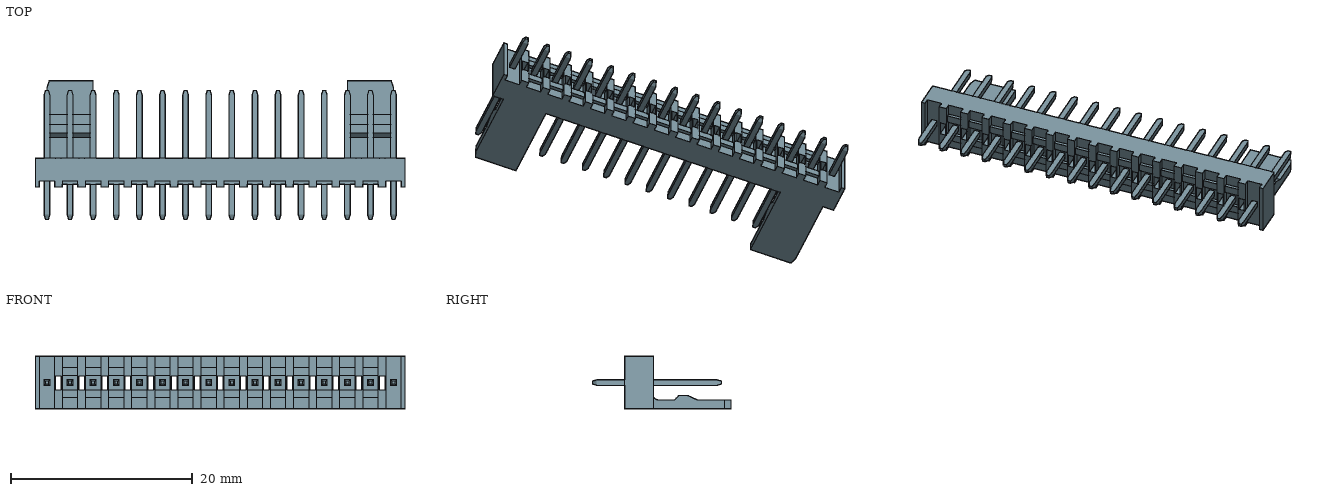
import cadquery as cq

OVERALL_DEPTH = 15.26

PIN_COUNT = 16
PITCH = 2.54
PIN_WIDTH = 0.64
PIN_TIP_WIDTH = 0.32
PIN_TIP_LENGTH = 0.5
PIN_FRONT_REACH = 3.55
PIN_REAR_REACH = 7.45

HOUSING_LENGTH = PIN_COUNT * PITCH
HOUSING_DEPTH = 3.2
HOUSING_HEIGHT = 5.8
PIN_HEIGHT = HOUSING_HEIGHT / 2

RIB_WIDTH = 0.86
GROOVE_WIDTH = PITCH - RIB_WIDTH
GROOVE_DEPTH = 0.66

PAD_INNER_OFFSET = 0.8
PAD_OUTER_OFFSET = 1.66
PAD_THICKNESS = 0.35

WINDOW_WIDTH = 0.6
WINDOW_BOTTOM = PIN_HEIGHT - PAD_INNER_OFFSET
WINDOW_HEIGHT = 1.5

TAB_REACH = OVERALL_DEPTH - HOUSING_DEPTH - PIN_FRONT_REACH
TAB_WIDTH = 2 * PITCH
TAB_THICKNESS = 1.0
TAB_CORNER_WIDTH = 0.25
TAB_CORNER_LENGTH = 0.76
ROOT_LENGTH = 0.58
ROOT_RISE = 0.3
BUMP_RISE = 0.5
BUMP_FOOT_NEAR = 2.29
BUMP_TOP_NEAR = 2.78
BUMP_TOP_FAR = 3.72
BUMP_FOOT_FAR = 4.8

FIRST_PIN_X = -(PIN_COUNT - 1) * PITCH / 2
PIN_XS = [FIRST_PIN_X + i * PITCH for i in range(PIN_COUNT)]


def block(x_center, width, y_start, y_end, z_start, z_end):
    """Upright box solid centred on x_center between the given y and z limits."""
    size = (width, y_end - y_start, z_end - z_start)
    box = cq.Workplane("XY").box(*size, centered=(True, False, False))
    return box.translate((x_center, y_start, z_start)).val()


def make_grooves():
    return [block(x, GROOVE_WIDTH, 0, GROOVE_DEPTH, 0, HOUSING_HEIGHT) for x in PIN_XS]


def make_windows():
    window_top = WINDOW_BOTTOM + WINDOW_HEIGHT
    rib_xs = [x + PITCH / 2 for x in PIN_XS[:-1]]
    return [block(x, WINDOW_WIDTH, 0, HOUSING_DEPTH, WINDOW_BOTTOM, window_top) for x in rib_xs]


def make_pads():
    pad_front = GROOVE_DEPTH - PAD_THICKNESS
    upper = (PIN_HEIGHT + PAD_INNER_OFFSET, PIN_HEIGHT + PAD_OUTER_OFFSET)
    lower = (PIN_HEIGHT - PAD_OUTER_OFFSET, PIN_HEIGHT - PAD_INNER_OFFSET)
    pads = []
    for x in PIN_XS[1:-1]:
        for z_start, z_end in (upper, lower):
            pads.append(block(x, GROOVE_WIDTH, pad_front, GROOVE_DEPTH, z_start, z_end))
    return pads


def make_housing():
    body = block(0, HOUSING_LENGTH, 0, HOUSING_DEPTH, 0, HOUSING_HEIGHT)
    return body.cut(*make_grooves(), *make_windows()).fuse(*make_pads())


def make_pin():
    """Square pin along y at x = 0, with a tapered tip at each end."""
    shaft_start = PIN_TIP_LENGTH - PIN_FRONT_REACH
    shaft_end = HOUSING_DEPTH + PIN_REAR_REACH - PIN_TIP_LENGTH
    z_start = PIN_HEIGHT - PIN_WIDTH / 2
    pin = block(0, PIN_WIDTH, shaft_start, shaft_end, z_start, z_start + PIN_WIDTH)
    for y, direction in ((shaft_start, -1), (shaft_end, 1)):
        plane = cq.Plane(origin=(0, y, PIN_HEIGHT), xDir=(1, 0, 0), normal=(0, direction, 0))
        tip = (
            cq.Workplane(plane)
            .rect(PIN_WIDTH, PIN_WIDTH)
            .workplane(offset=PIN_TIP_LENGTH)
            .rect(PIN_TIP_WIDTH, PIN_TIP_WIDTH)
            .loft(ruled=True)
        )
        pin = pin.fuse(tip.val())
    return pin


def make_left_tab():
    """Tab spanning the first three pins, with a latch bump, an arched root and a cut outer corner."""
    x_outer = PIN_XS[0]
    profile = (
        cq.Workplane("YZ")
        .lineTo(TAB_REACH, 0)
        .lineTo(TAB_REACH, TAB_THICKNESS)
        .lineTo(BUMP_FOOT_FAR, TAB_THICKNESS)
        .lineTo(BUMP_TOP_FAR, TAB_THICKNESS + BUMP_RISE)
        .lineTo(BUMP_TOP_NEAR, TAB_THICKNESS + BUMP_RISE)
        .lineTo(BUMP_FOOT_NEAR, TAB_THICKNESS)
        .lineTo(ROOT_LENGTH, TAB_THICKNESS)
        .tangentArcPoint((0, TAB_THICKNESS + ROOT_RISE), relative=False)
        .close()
    )
    tab = profile.extrude(TAB_WIDTH)
    corner = (
        cq.Workplane("XY")
        .moveTo(0, TAB_REACH)
        .lineTo(TAB_CORNER_WIDTH, TAB_REACH)
        .lineTo(0, TAB_REACH - TAB_CORNER_LENGTH)
        .close()
        .extrude(TAB_THICKNESS)
    )
    return tab.cut(corner).translate((x_outer, HOUSING_DEPTH, 0))


left_tab = make_left_tab().val()
right_tab = left_tab.mirror("YZ")
pin = make_pin()
pins = [pin.translate(cq.Vector(x, 0, 0)) for x in PIN_XS]
connector = make_housing().fuse(left_tab, right_tab, *pins)

result = cq.Workplane(connector.clean().Solids()[0])